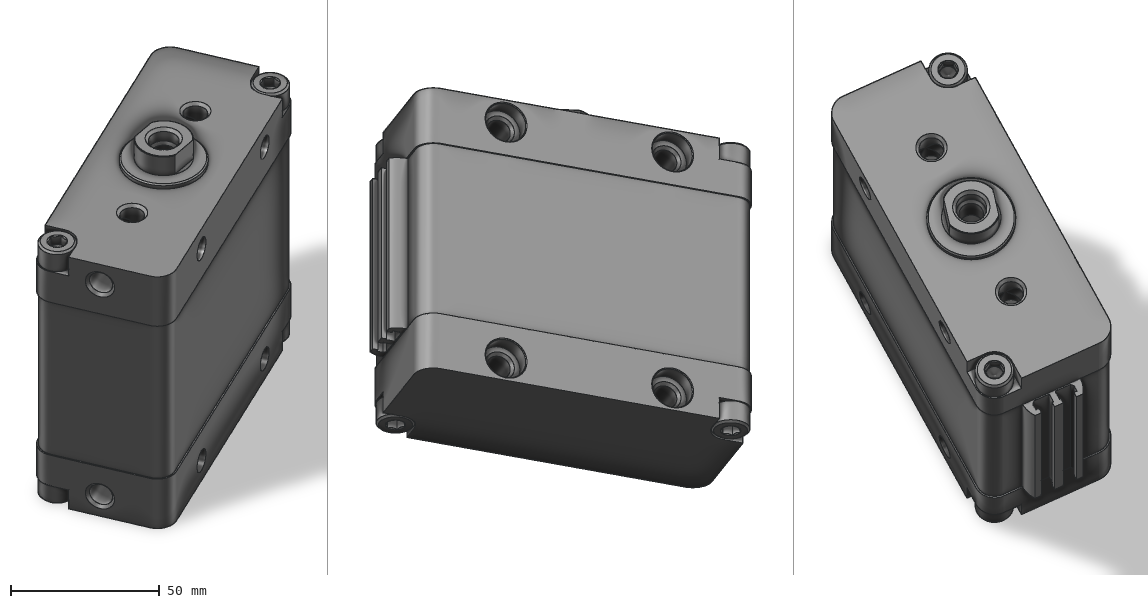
import cadquery as cq
import math

width = 50.0
length = 120.9
cap_height = 21.0
barrel_height = 65.0
corner_radius = 7.0
barrel_inset = 0.57

rail_height = 5.6
rail_half_width = 10.9
rail_top_half_width = 9.0
claw_bulge_half_width = 10.4
claw_tip_half = 6.6
claw_wall_half = 7.7
lip_thickness = 1.9
slot_floor = 0.5
slot_corner = 0.9
tee_head_half = 1.6
tee_stem_half = 1.1

collar_diameter = 30.0
collar_height = 1.9
collar_chamfer = 0.5

rod_diameter = 20.0
rod_rise = 10.0
rod_chamfer = 0.3
flats_width = 17.0
flats_angle = -15.0
rod_bore_mouth = 12.5
rod_bore_diameter = 10.4
rod_bore_depth = 5.0
rod_core_diameter = 8.3
rod_core_depth = 15.2

thread_diameter = 8.3
thread_mouth = 10.5
thread_depth = 15.2
counterbore_mouth = 15.0
counterbore_diameter = 14.4
counterbore_depth = 6.0
hole_spacing = 60.0
hole_setback = 8.5

screw_head_diameter = 13.0
screw_head_height = 8.0
screw_head_chamfer = 0.8
socket_flats = 6.0
socket_depth = 3.8
socket_sides = 6
pocket_diameter = 13.4
drill_tip_angle = 118.0

barrel_top = cap_height + barrel_height
housing_height = barrel_top + cap_height
cap_face_y = length / 2
thread_chamfer = (thread_mouth - thread_diameter) / 2
hole_ys = (-hole_spacing / 2, hole_spacing / 2)
socket_half_side = 180 / socket_sides
socket_corners = socket_flats / math.cos(math.radians(socket_half_side))
screw_x = width / 2 - corner_radius
screw_y = length / 2 - corner_radius
screw_places = [(screw_x, screw_y), (-screw_x, -screw_y)]


def rounded_block(size_x, size_y, radius, height):
    """Upright block on the XY plane with rounded vertical corners."""
    return cq.Workplane("XY").rect(size_x, size_y).extrude(height).edges("|Z").fillet(radius)


def turned(points):
    """Solid of revolution about Z from (radius, height) points."""
    return cq.Workplane("XZ").polyline(points).close().revolve(360, (0, 0, 0), (0, 1, 0))


def tip_depth(diameter):
    """Depth of the conical tip of a drilled hole."""
    return diameter / 2 / math.tan(math.radians(drill_tip_angle / 2))


def threaded_hole():
    """Flat-bottomed blind hole with a countersunk mouth."""
    core = thread_diameter / 2
    mouth = thread_mouth / 2
    return turned([(0, 0), (mouth, 0), (core, -thread_chamfer), (core, -thread_depth), (0, -thread_depth)])


def side_hole():
    """Counterbored hole through the whole width, countersunk at the seat."""
    core = thread_diameter / 2
    mouth = thread_mouth / 2
    bore = counterbore_diameter / 2
    bore_mouth = counterbore_mouth / 2
    seat = -counterbore_depth
    return turned([
        (0, 0), (bore_mouth, 0), (bore, bore - bore_mouth), (bore, seat), (mouth, seat),
        (core, seat - thread_chamfer), (core, -width), (0, -width),
    ])


def rod_hole():
    """Countersunk bore stepping down to a drilled core."""
    mouth = rod_bore_mouth / 2
    bore = rod_bore_diameter / 2
    core = rod_core_diameter / 2
    return turned([
        (0, 0), (mouth, 0), (bore, bore - mouth), (bore, -rod_bore_depth),
        (core, -rod_bore_depth - bore + core), (core, -rod_core_depth),
        (0, -rod_core_depth - tip_depth(rod_core_diameter)),
    ])


def hex_socket():
    """Hexagon socket with a countersunk mouth and a conical bottom."""
    hexagon = cq.Workplane("XY").polygon(socket_sides, socket_corners).extrude(-socket_depth)
    hexagon = hexagon.rotate((0, 0, 0), (0, 0, 1), socket_half_side)
    radius = socket_flats / 2
    mouth = socket_corners / 2
    core = turned([
        (0, 0), (mouth, 0), (radius, radius - mouth), (radius, -socket_depth),
        (0, -socket_depth - tip_depth(socket_flats)),
    ])
    return hexagon.union(core)


def screw_pocket(x, y):
    """Corner pocket: a round seat about the screw axis, opened out to both side faces."""
    reach = pocket_diameter
    pocket = cq.Workplane("XY").circle(pocket_diameter / 2).extrude(-screw_head_height)
    for shift_x, shift_y in ((math.copysign(reach / 2, x), 0), (0, math.copysign(reach / 2, y))):
        opening = cq.Workplane("XY").center(shift_x, shift_y).rect(reach, reach)
        pocket = pocket.union(opening.extrude(-screw_head_height))
    return pocket.translate((x, y, 0))


def screw_head(x, y):
    """Chamfered socket head, standing on the floor of its pocket."""
    head = cq.Workplane("XY").circle(screw_head_diameter / 2).extrude(-screw_head_height)
    head = head.faces(">Z").chamfer(screw_head_chamfer)
    return head.cut(hex_socket()).translate((x, y, 0))


def make_cap():
    """End cap with its outer face at the origin, with side and front holes and two screw heads."""
    cap = rounded_block(width, length, corner_radius, cap_height).translate((0, 0, -cap_height))
    side = side_hole().rotate((0, 0, 0), (0, 1, 0), -90)
    for y in hole_ys:
        cap = cap.cut(side.translate((-width / 2, y, -hole_setback)))
    front = threaded_hole().rotate((0, 0, 0), (1, 0, 0), 90)
    cap = cap.cut(front.translate((0, -cap_face_y, -hole_setback)))
    for x, y in screw_places:
        cap = cap.cut(screw_pocket(x, y)).union(screw_head(x, y))
    return cap


def make_front_cap():
    """Cap on top of the barrel, with the rod collar and bore and two threaded holes in its face."""
    collar = cq.Workplane("XY").circle(collar_diameter / 2).extrude(collar_height)
    cap = make_cap().union(collar.faces(">Z").chamfer(collar_chamfer))
    for y in hole_ys:
        cap = cap.cut(threaded_hole().translate((0, y, 0)))
    rod_bore = cq.Workplane("XY").workplane(offset=-cap_height).circle(rod_diameter / 2)
    cap = cap.cut(rod_bore.extrude(cap_height + collar_height))
    return cap.translate((0, 0, housing_height))


def make_rear_cap():
    """Cap under the barrel, with its outer face down."""
    return make_cap().mirror("XY")


def make_barrel():
    """Barrel block carrying the sensor rail: two hooked claws and a T-shaped middle rib."""
    inset = 2 * barrel_inset
    barrel = rounded_block(width - inset, length - inset, corner_radius - barrel_inset, barrel_height)
    root = cap_face_y - inset
    floor = cap_face_y + slot_floor
    top = cap_face_y + rail_height
    lip = top - lip_thickness
    half_rail = (
        cq.Workplane("XY")
        .moveTo(0, root).lineTo(rail_half_width, root).lineTo(rail_half_width, cap_face_y)
        .threePointArc((claw_bulge_half_width, cap_face_y + rail_height / 2), (rail_top_half_width, top))
        .lineTo(claw_tip_half, top).lineTo(claw_tip_half, lip).lineTo(claw_wall_half, lip)
        .lineTo(claw_wall_half, floor + slot_corner).lineTo(claw_wall_half - slot_corner, floor)
        .lineTo(tee_stem_half, floor).lineTo(tee_stem_half, lip).lineTo(tee_head_half, lip)
        .lineTo(tee_head_half, top).lineTo(0, top).close()
        .extrude(barrel_height)
    )
    barrel = barrel.union(half_rail).union(half_rail.mirror("YZ"))
    return barrel.translate((0, 0, cap_height))


def make_rod():
    """Piston rod end with two wrench flats and a stepped threaded bore."""
    end = housing_height + rod_rise
    rod = cq.Workplane("XY").workplane(offset=barrel_top).circle(rod_diameter / 2).extrude(end - barrel_top)
    rod = rod.faces(">Z").chamfer(rod_chamfer)
    flats_bottom = housing_height + collar_height
    for side in (-1, 1):
        cutter = cq.Workplane("XY").box(rod_diameter, rod_diameter, rod_diameter, centered=(True, True, False))
        cutter = cutter.translate((side * (flats_width + rod_diameter) / 2, 0, flats_bottom))
        rod = rod.cut(cutter.rotate((0, 0, 0), (0, 0, 1), flats_angle))
    return rod.cut(rod_hole().translate((0, 0, end)))


front_cap = make_front_cap()
rear_cap = make_rear_cap()
barrel = make_barrel()
rod = make_rod()

result = cq.Compound.makeCompound([front_cap.val(), rear_cap.val(), barrel.val(), rod.val()])